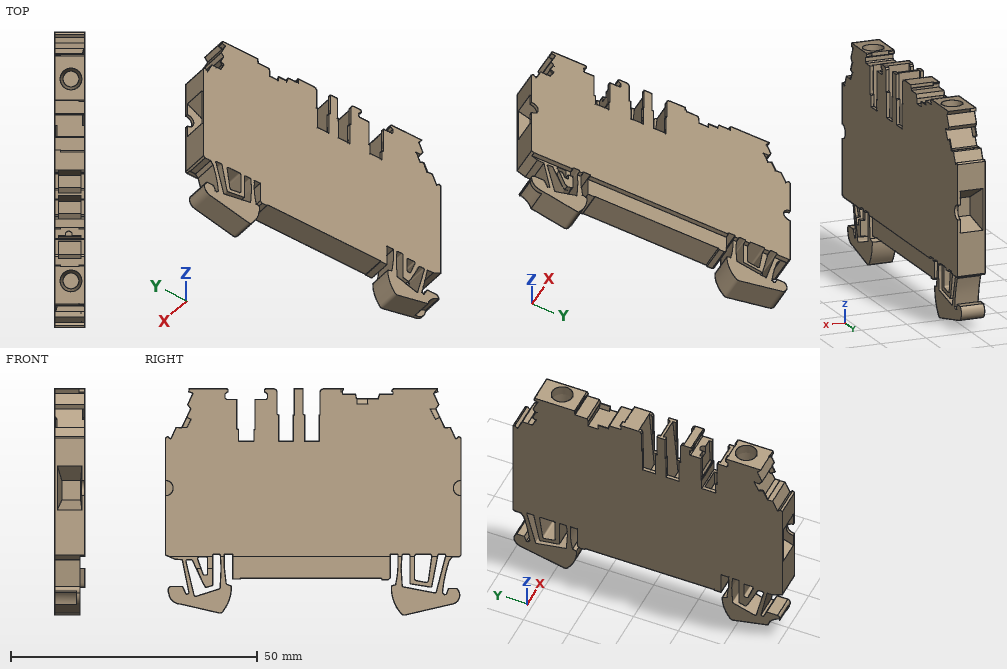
import cadquery as cq
import math

THICKNESS = 6.1
LENGTH = 60.0
HEIGHT = 45.98
HALF_LENGTH = LENGTH / 2
CLEARANCE = 1.0

LOWER_THICKNESS = 5.15
LOWER_TOP = 11.93
WINDOW_TOP = 12.36

LEDGE_Z = 43.82
SLOT_FLOOR = 35.32
POCKET_FLOOR = 32.0
SLOT_STEP = 40.64
POCKET_WALL = 0.72
MARKER_Z = 44.87
MARKER_LOW_Z = 43.96
MARKER_FLOOR_Z = 42.9

TAB_ROOT = 0.5
TAB_TIP = 0.15

SCREW_X = 3.3
SCREW_Y = 20.5
SCREW_BORE = 4.4
SCREW_BORE_DEPTH = 2.2
SCREW_SEAT = 3.2
SCREW_CONE_DEPTH = 6.0
FUNNEL_DEPTH = 4.5
FUNNEL_MOUTH = (0.55, 5.5, 21.4, 30.3)
FUNNEL_THROAT = (1.45, 5.25, 23.4, 27.35)
NOTCH_Z = 25.8
NOTCH_RADIUS = 1.55


def plate(points, x_from=0.0, x_to=THICKNESS, radius=0.0):
    """Extrude a closed (Y, Z) polygon from x_from to x_to, with optional rounded corners."""
    solid = cq.Workplane("YZ", origin=(x_from, 0, 0)).polyline(points).close().extrude(x_to - x_from)
    if radius > 0:
        solid = solid.edges("|X").fillet(radius)
    return solid


def through(points, radius=0.0):
    """Cutter that passes through the whole thickness."""
    return plate(points, -CLEARANCE, THICKNESS + CLEARANCE, radius)


def block(x_from, x_to, y_from, y_to, z_from, z_to):
    """Axis-aligned box given by its limits."""
    size = (x_to - x_from, y_to - y_from, z_to - z_from)
    return cq.Workplane("XY").box(*size, centered=False).translate((x_from, y_from, z_from))


def turned(solid):
    """Copy turned half a revolution about the vertical axis through the plate centre."""
    return solid.rotate((THICKNESS / 2, 0, 0), (THICKNESS / 2, 0, 1), 180)


def mirrored_end(solid):
    """Copy mirrored to the opposite end of the plate."""
    return solid.mirror("XZ")


def make_body():
    """Plate outline above the feet, with the stepped shoulders that are alike at both ends."""
    shoulder = [
        (25.2, HEIGHT),
        (25.3, 45.35),
        (24.45, 45.05),
        (25.5, 42.75),
        (24.9, 41.9),
        (26.7, 38.05),
        (27.85, 38.15),
        (28.95, 35.75),
        (29.55, 36.3),
        (HALF_LENGTH, 36.0),
    ]
    left_bottom = [(HALF_LENGTH, 12.2), (29.6, 11.82)]
    right_bottom = [(-26.7, 11.24), (-28.1, 11.35), (-HALF_LENGTH, 12.2)]
    right = [(-y, z) for y, z in reversed(shoulder)]
    tongue_left = [(16.5, 11.82), (15.65, 11.82), (15.65, 7.6), (15.2, 7.16), (14.0, 7.16), (13.8, 7.45)]
    tongue_right = [(-14.8, 7.45), (-14.8, 7.3), (-16.37, 7.3), (-16.37, 11.24)]
    return plate(shoulder + left_bottom + tongue_left + tongue_right + right_bottom + right)


def cut_top_openings(body):
    """Marker recess and the three slots for jumpers, all through the thickness."""
    top = HEIGHT + CLEARANCE
    marker = [
        (16.25, top), (16.25, HEIGHT), (15.9, 45.55), (16.15, 45.3), (16.15, MARKER_Z),
        (13.45, MARKER_Z), (13.15, MARKER_LOW_Z), (8.8, MARKER_LOW_Z), (8.6, MARKER_Z),
        (5.95, MARKER_Z), (5.95, 45.6), (6.1, 45.8), (6.1, top),
    ]
    first_slot = [
        (2.05, top), (2.05, HEIGHT), (1.6, 45.8), (1.37, 45.4), (1.37, SLOT_STEP), (1.18, SLOT_STEP),
        (1.18, SLOT_FLOOR), (-1.72, SLOT_FLOOR), (-1.72, SLOT_STEP), (-2.07, 40.8), (-2.07, top),
    ]
    second_slot = [
        (-3.9, top), (-3.9, SLOT_STEP), (-4.08, SLOT_STEP), (-4.08, SLOT_FLOOR), (-6.98, SLOT_FLOOR),
        (-6.98, SLOT_STEP), (-7.31, 40.8), (-7.31, 45.4), (-7.55, 45.8), (-7.95, HEIGHT), (-7.95, top),
    ]
    third_slot = [
        (-9.7, top), (-9.7, HEIGHT), (-9.92, 45.8), (-9.92, 45.35), (-9.3, 44.9), (-9.3, 44.1),
        (-9.55, LEDGE_Z), (-11.87, LEDGE_Z), (-11.87, 37.7), (-12.06, 37.7), (-12.06, SLOT_FLOOR),
        (-15.14, SLOT_FLOOR), (-15.14, 37.7), (-15.5, 37.85), (-15.5, LEDGE_Z), (-17.6, LEDGE_Z),
        (-17.87, 44.1), (-17.87, 44.95), (-17.3, 45.35), (-17.3, 45.8), (-17.5, HEIGHT), (-17.5, top),
    ]
    for outline in (marker, first_slot, second_slot, third_slot):
        body = body.cut(through(outline))
    return body


def cut_slot_pockets(body):
    """Tapered pockets between the side walls of each slot, and a small hole beside the third one."""
    pockets = [
        [(2.05, HEIGHT), (0.95, POCKET_FLOOR), (-1.5, POCKET_FLOOR), (-2.6, HEIGHT)],
        [(-3.2, HEIGHT), (-4.35, POCKET_FLOOR), (-6.85, POCKET_FLOOR), (-7.95, HEIGHT)],
        [(-11.3, LEDGE_Z), (-11.5, 38.6), (-12.4, 37.1), (-12.45, POCKET_FLOOR),
         (-15.14, POCKET_FLOOR), (-15.9, LEDGE_Z)],
    ]
    for outline in pockets:
        body = body.cut(plate(outline, POCKET_WALL, THICKNESS - POCKET_WALL))

    hole_x = 2.85
    hole_y = -11.1
    hole_radius = 0.7
    hole_depth = 1.6
    hole = cq.Workplane("XY", origin=(hole_x, hole_y, LEDGE_Z - hole_depth))
    return body.cut(hole.circle(hole_radius).extrude(hole_depth + CLEARANCE))


def cut_lip_reliefs(body):
    """Shallow set-backs in the lips over the third slot, over the marker recess and on the towers."""
    x_from = 1.2
    x_to = 4.9
    setback = 0.25
    lip_bottom = 44.9
    marker_lip_bottom = 45.3
    slot_lip = -9.92
    tower_lip = -17.3
    slot_relief = block(x_from, x_to, slot_lip, slot_lip + setback, lip_bottom, HEIGHT)
    tower_relief = block(x_from, x_to, tower_lip - setback, tower_lip, lip_bottom, HEIGHT)
    body = body.cut(slot_relief).cut(tower_relief)

    tower_side = block(-CLEARANCE, x_to, 15.9, 16.25, marker_lip_bottom, HEIGHT)
    slot_side = block(x_from, THICKNESS + CLEARANCE, 5.65, 6.1, marker_lip_bottom, HEIGHT)
    body = body.cut(tower_side).cut(slot_side)

    bevel = [(-25.2, HEIGHT), (-24.45, 45.05), (-26, 45.05), (-26, HEIGHT)]
    relief = plate(bevel, -CLEARANCE, x_to)
    return body.cut(relief).cut(turned(relief))


def tab_channel(start, run, depth, length):
    """Cutter for a channel of two equal halves; each half leaves a tab on one side face only.

    start is the (Y, Z) of the channel floor, run its (Y, Z) direction. The first half keeps
    the tab on the +X face, the second half the tab on the -X face.
    """
    overshoot = 0.1
    top = depth + overshoot
    section = [
        (-CLEARANCE, 0),
        (THICKNESS - TAB_ROOT, 0),
        (THICKNESS - TAB_TIP, depth),
        (THICKNESS - TAB_TIP, top),
        (-CLEARANCE, top),
    ]
    opposite_section = [(THICKNESS - x, height) for x, height in section]
    half = length / 2
    middle = (start[0] + run[0] * half, start[1] + run[1] * half)

    def half_channel(origin, outline):
        plane = cq.Plane(origin=(0, *origin), xDir=(1, 0, 0), normal=(0, *run))
        return cq.Workplane(plane).polyline(outline).close().extrude(half)

    return half_channel(start, section).union(half_channel(middle, opposite_section))


def cut_tab_channels(body):
    """Channels with side tabs in the lower marker shelf and in the shoulder of each tower."""
    marker_start = (13.25, MARKER_FLOOR_Z)
    marker_length = 4.4
    marker_depth = MARKER_LOW_Z - MARKER_FLOOR_Z
    marker = tab_channel(marker_start, (-1, 0), marker_depth, marker_length)

    lean = math.radians(26.5)
    shoulder_top = 41.9
    shoulder_bottom = 38.1
    shoulder_start = (-23.72, 41.95)
    shoulder_run = (-math.sin(lean), -math.cos(lean))
    shoulder_depth = 1.05
    shoulder_length = 4.9
    shoulder = tab_channel(shoulder_start, shoulder_run, shoulder_depth, shoulder_length)
    limits = block(-CLEARANCE, THICKNESS + CLEARANCE, -HALF_LENGTH, 0, shoulder_bottom, shoulder_top)
    shoulder = shoulder.intersect(limits)
    return body.cut(marker).cut(shoulder).cut(turned(shoulder))


def cut_screws(body):
    """Screw access bores with a conical seat, one in each tower."""
    for y in (-SCREW_Y, SCREW_Y):
        top = cq.Workplane("XY", origin=(SCREW_X, y, HEIGHT))
        bore = top.circle(SCREW_BORE / 2).extrude(-SCREW_BORE_DEPTH)
        seat_top = cq.Workplane("XY", origin=(SCREW_X, y, HEIGHT - SCREW_BORE_DEPTH))
        seat = (
            seat_top.circle(SCREW_BORE / 2)
            .workplane(offset=-SCREW_CONE_DEPTH)
            .circle(SCREW_SEAT / 2)
            .loft(combine=True)
        )
        body = body.cut(bore).cut(seat)
    return body


def cut_wire_entries(body):
    """Rectangular wire funnel in each end face, with a half-round notch in its +X wall."""
    def rectangle(limits, y):
        x_from, x_to, z_from, z_to = limits
        corners = [(x_from, z_from), (x_to, z_from), (x_to, z_to), (x_from, z_to)]
        return cq.Wire.makePolygon([cq.Vector(x, y, z) for x, z in corners], close=True)

    mouth = rectangle(FUNNEL_MOUTH, -HALF_LENGTH)
    throat = rectangle(FUNNEL_THROAT, -HALF_LENGTH + FUNNEL_DEPTH)
    funnel = cq.Workplane(cq.Solid.makeLoft([mouth, throat], True))
    overlap = 0.1
    notch_x = FUNNEL_MOUTH[1] - overlap
    notch_plane = cq.Workplane("YZ", origin=(notch_x, -HALF_LENGTH, NOTCH_Z))
    notch = notch_plane.circle(NOTCH_RADIUS).extrude(THICKNESS)
    for cutter in (funnel, notch):
        body = body.cut(cutter).cut(mirrored_end(cutter))
    return body


def make_left_foot():
    """Spring foot at the +Y end."""
    outline = (
        cq.Workplane("YZ").moveTo(28.3, LOWER_TOP)
        .lineTo(27.6, 11.0)
        .threePointArc((26.75, 7.9), (26.25, 4.6))
        .lineTo(26.65, 4.19)
        .lineTo(27.0, 4.25)
        .lineTo(27.45, 5.46)
        .lineTo(29.1, 5.46)
        .threePointArc((29.7, 3.6), (28.3, 2.25))
        .lineTo(18.7, 0.03)
        .threePointArc((18.33, 0.012), (17.85, 0.3))
        .threePointArc((16.4, 2.65), (15.85, 5.0))
        .lineTo(15.85, 5.95)
        .lineTo(16.7, 6.2)
        .threePointArc((17.1, 8.6), (17.17, LOWER_TOP))
        .close()
    )
    return outline.extrude(LOWER_THICKNESS)


def make_right_foot():
    """Spring foot at the -Y end, with the scooped tip."""
    outline = (
        cq.Workplane("YZ").moveTo(-18.04, LOWER_TOP)
        .lineTo(-18.04, 9.7)
        .lineTo(-17.65, 6.35)
        .lineTo(-16.6, 5.9)
        .threePointArc((-16.95, 3.4), (-18.2, 0.95))
        .threePointArc((-18.6, 0.5), (-19.2, 0.45))
        .lineTo(-27.0, 2.25)
        .threePointArc((-28.7, 3.0), (-29.35, 4.5))
        .threePointArc((-29.35, 5.5), (-28.95, 5.86))
        .lineTo(-26.55, 5.86)
        .lineTo(-25.75, 4.2)
        .lineTo(-25.25, 4.5)
        .lineTo(-26.75, LOWER_TOP)
        .close()
    )
    foot = outline.extrude(LOWER_THICKNESS)

    tip_rim = 0.75
    scoop = (
        cq.Workplane("YZ")
        .moveTo(-29.4, 4.95)
        .threePointArc((-27.55, 3.75), (-26.75, 2.1))
        .lineTo(-29.4, 2.1)
        .close()
        .extrude(LOWER_THICKNESS - tip_rim)
    )
    return foot.cut(scoop)


def make_stub():
    """Tip of the tapered stop in the right foot, as thick as the body."""
    stub_top = 9.5
    upper_edge = [(-23.65, stub_top), (-20.4, stub_top)]
    rounded_tip = [(-20.4, 6.2), (-20.7, 5.9), (-21.75, 5.65), (-22.2, 6.1)]
    return plate(upper_edge + rounded_tip)


def cut_leg_windows(part):
    """Openings that separate the spring legs, cut through feet and body edge."""
    top = WINDOW_TOP
    windows = [
        ([(15.65, top), (17.17, top), (17.17, 9.5), (16.75, 6.6), (15.65, 6.6)], 0),
        ([(26.95, top), (25.35, top), (24.05, 5.64), (19.6, 6.36), (19.6, top), (18.05, top),
          (17.86, 9.54), (18.1, 5.8), (24.9, 4.5)], 0.25),
        ([(24.1, top), (20.58, top), (20.58, 7.1), (23.3, 6.6)], 0.4),
        ([(-16.37, top), (-18.04, top), (-18.04, 9.7), (-17.65, 6.9), (-16.37, 6.9)], 0),
        ([(-18.9, top), (-20.4, top), (-20.4, 6.0), (-21.85, 5.6), (-22.4, 6.5),
          (-24.6, 11.24), (-25.9, 11.24), (-24.1, 3.75), (-18.94, 5.4), (-18.73, 9.54)], 0.25),
        ([(-21.48, 11.8), (-23.6, 11.8), (-22.3, 8.17), (-21.48, 8.17)], 0.3),
    ]
    for outline, radius in windows:
        part = part.cut(through(outline, radius))
    return part


def make_part():
    """Body with its openings, both feet and the openings between the spring legs."""
    body = make_body()
    below = block(LOWER_THICKNESS, THICKNESS + CLEARANCE, -LENGTH, LENGTH, 0, LOWER_TOP)
    body = body.cut(below)
    for cut in (
        cut_top_openings,
        cut_slot_pockets,
        cut_lip_reliefs,
        cut_tab_channels,
        cut_screws,
        cut_wire_entries,
    ):
        body = cut(body)
    part = body.union(make_left_foot()).union(make_right_foot())
    return cut_leg_windows(part.union(make_stub()))


result = make_part()